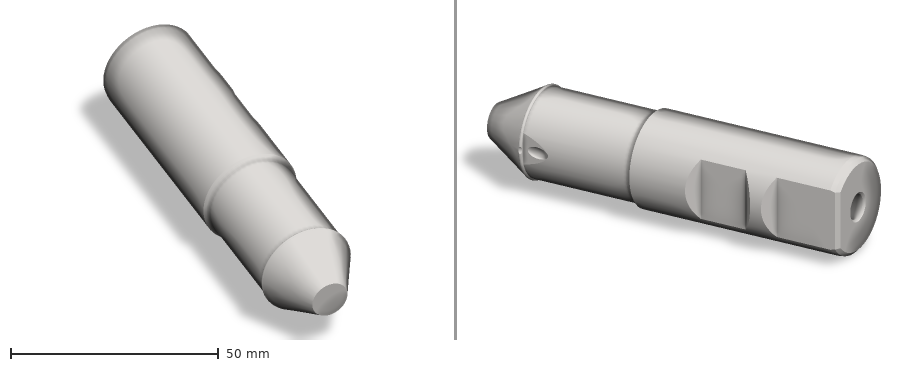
import cadquery as cq
import math

length = 100.0
shank_diameter = 25.0
neck_diameter = 23.0
tip_diameter = 9.4
shank_length = 56.2
neck_end = 86.5

shoulder_end = 57.7
shoulder_bevel = 0.6
shoulder_blend_start = shank_length + shoulder_bevel
shoulder_blend_radius = shank_diameter / 2 - shoulder_bevel

rim_crest = 86.8
rim_radius = 11.9
rim_end = 87.3
rim_end_radius = 11.8

end_bevel = 0.9
end_face_radius = 11.3
lead_in_radius = 12.3
lead_in_end = 2.2

flat_y = 9.7
rear_flat_end = 17.0
front_flat_start = 25.6
front_flat_end = 38.0

relief_start = 79.5
relief_depth = 0.8

bore_diameter = 6.5
bore_mouth_diameter = 7.6
bore_depth = 60.0
drill_point_angle = 118.0
outlet_diameter = 3.0
outlet_start_y = 1.4
outlet_exit_x = 83.0

shank_radius = shank_diameter / 2
neck_radius = neck_diameter / 2
bore_radius = bore_diameter / 2
clearance = 1.0


def turned(points):
    """Revolve an (X, radius) outline about the X axis."""
    return cq.Workplane("XY").polyline(points).close().revolve(360, (0, 0, 0), (1, 0, 0))


def side_cut(points):
    """Prism of an XY outline that spans the whole part along Z."""
    return cq.Workplane("XY").polyline(points).close().extrude(shank_diameter, both=True)


def turned_body():
    return (
        cq.Workplane("XY")
        .lineTo(0, end_face_radius)
        .lineTo(end_bevel, lead_in_radius)
        .lineTo(lead_in_end, shank_radius)
        .lineTo(shank_length, shank_radius)
        .lineTo(shoulder_blend_start, shoulder_blend_radius)
        .tangentArcPoint((shoulder_end, neck_radius), relative=False)
        .lineTo(neck_end, neck_radius)
        .threePointArc((rim_crest, rim_radius), (rim_end, rim_end_radius))
        .lineTo(length, tip_diameter / 2)
        .lineTo(length, 0)
        .close()
        .revolve(360, (0, 0, 0), (1, 0, 0))
    )


def clamping_flats():
    top_y = shank_radius + clearance
    rise = top_y - flat_y
    bevel_drop = shank_radius - end_face_radius
    rear = side_cut([
        (-clearance, flat_y - bevel_drop),
        (0, flat_y - bevel_drop),
        (end_bevel, flat_y),
        (rear_flat_end, flat_y),
        (rear_flat_end + rise, top_y),
        (-clearance, top_y),
    ])
    front = side_cut([
        (front_flat_start, flat_y),
        (front_flat_end, flat_y),
        (front_flat_end + rise, top_y),
        (front_flat_start - rise, top_y),
    ])
    return rear.union(front)


def neck_relief():
    top_y = neck_radius + clearance
    return side_cut([
        (relief_start, neck_radius),
        (neck_end, neck_radius - relief_depth),
        (neck_end, top_y),
        (relief_start, top_y),
    ])


def supply_bore():
    mouth_radius = bore_mouth_diameter / 2
    mouth_depth = mouth_radius - bore_radius
    point_length = bore_radius / math.tan(math.radians(drill_point_angle / 2))
    return turned([
        (0, 0),
        (0, mouth_radius),
        (mouth_depth, bore_radius),
        (bore_depth, bore_radius),
        (bore_depth + point_length, 0),
    ])


def coolant_outlet():
    start = cq.Vector(bore_depth, outlet_start_y, 0)
    to_exit = cq.Vector(outlet_exit_x, neck_radius, 0) - start
    drill_length = to_exit.Length + 2 * outlet_diameter
    drill = cq.Solid.makeCylinder(outlet_diameter / 2, drill_length, start, to_exit)
    return cq.Workplane(drill)


result = (
    turned_body()
    .cut(clamping_flats())
    .cut(neck_relief())
    .cut(supply_bore())
    .cut(coolant_outlet())
)